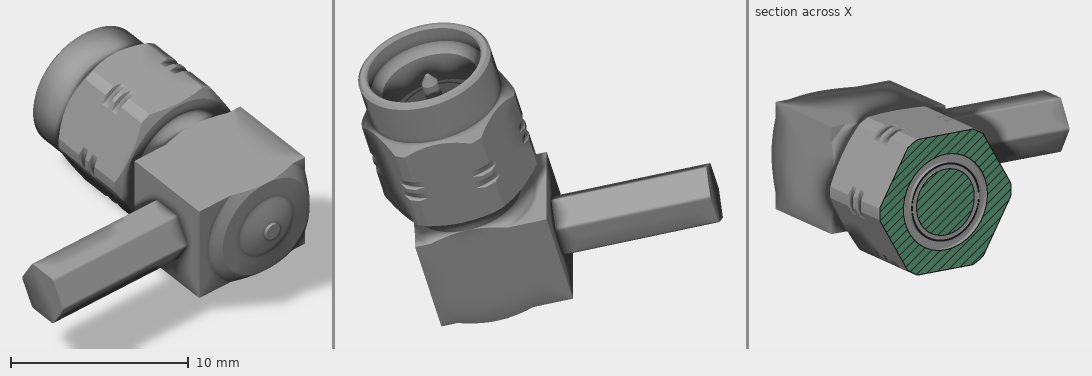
import cadquery as cq
import math


sleeve_diameter = 7.7
sleeve_edge_chamfer = 0.18
nut_start = 2.6
nut_end = 8.52
nut_across_flats = 8.0
nut_corner_radius = 4.44
nut_front_angle = 45.0
nut_rear_angle = 60.0
nut_rear_face_radius = 3.88

groove_floor_radius = 4.23
groove_floor_width = 0.4
groove_wall_run = 0.07
groove_pitch = 0.82
groove_count = 2
first_groove_x = 5.28

bore_diameter = 6.6
bore_lead_in = 0.1
bore_shoulder_x = 1.03
inner_bore_diameter = 5.59
inner_bore_floor_x = 3.4

rim_diameter = 4.56
rim_front_x = 3.1
ring_outer_diameter = 4.4
ring_inner_diameter = 3.9
ring_depth = 0.1
pin_diameter = 0.93
pin_tip_diameter = 0.25
pin_tip_x = 0.81
pin_cone_end_x = 1.35

neck_diameter = 6.3
body_height = 6.3
body_front_x = 10.05
body_rear_x = 15.83
boss_start_x = 9.65
boss_end_x = 16.25
boss_base_radius = 3.85
body_tail_face_y = -4.5

dome_radius = 1.95
dome_height = 0.45
stub_diameter = 1.0
stub_end_x = 16.86

tail_across_flats = 3.2
tail_edge_radius = 0.2
tail_end_y = -13.5


def hexagon_diameter(across_flats):
    """Across-corners size of a regular hexagon."""
    return across_flats / math.cos(math.pi / 6)


def revolve_about_axis(profile):
    """Turn a closed (x, radius) profile about the connector axis."""
    return cq.Workplane("XY").polyline(profile).close().revolve(360, (0, 0, 0), (1, 0, 0))


def cylinder(diameter, start_x, end_x):
    return cq.Workplane("YZ", origin=(start_x, 0, 0)).circle(diameter / 2).extrude(end_x - start_x)


def make_groove(center_x):
    """Ring cutter with sloping walls; it reaches only the nut corners."""
    outer_radius = 2 * nut_corner_radius - groove_floor_radius
    half_floor = groove_floor_width / 2
    half_top = half_floor + 2 * groove_wall_run
    return revolve_about_axis([
        (center_x - half_floor, groove_floor_radius),
        (center_x + half_floor, groove_floor_radius),
        (center_x + half_top, outer_radius),
        (center_x - half_top, outer_radius),
    ])


def make_nut():
    hexagon = (
        cq.Workplane("YZ", origin=(nut_start, 0, 0))
        .polygon(6, hexagon_diameter(nut_across_flats))
        .extrude(nut_end - nut_start)
    )
    front_radius = sleeve_diameter / 2
    front_length = (nut_corner_radius - front_radius) / math.tan(math.radians(nut_front_angle))
    rear_length = (nut_corner_radius - nut_rear_face_radius) / math.tan(math.radians(nut_rear_angle))
    turned_envelope = revolve_about_axis([
        (nut_start, 0),
        (nut_start, front_radius),
        (nut_start + front_length, nut_corner_radius),
        (nut_end - rear_length, nut_corner_radius),
        (nut_end, nut_rear_face_radius),
        (nut_end, 0),
    ])
    nut = hexagon.intersect(turned_envelope)
    for index in range(groove_count):
        nut = nut.cut(make_groove(first_groove_x + index * groove_pitch))
    sleeve = cylinder(sleeve_diameter, 0, nut_start).faces("<X").chamfer(sleeve_edge_chamfer)
    return nut.union(sleeve)


def make_bore():
    bore_radius = bore_diameter / 2
    inner_radius = inner_bore_diameter / 2
    shoulder_length = bore_radius - inner_radius
    return revolve_about_axis([
        (0, 0),
        (0, bore_radius + bore_lead_in),
        (bore_lead_in, bore_radius),
        (bore_shoulder_x, bore_radius),
        (bore_shoulder_x + shoulder_length, inner_radius),
        (inner_bore_floor_x, inner_radius),
        (inner_bore_floor_x, 0),
    ])


def make_contact_core():
    """Raised round core with a shallow ring sunk between its rim and the insulator."""
    core = cylinder(rim_diameter, rim_front_x, inner_bore_floor_x)
    ring_floor_x = rim_front_x + ring_depth
    ring = cylinder(ring_outer_diameter, rim_front_x, ring_floor_x)
    insulator = cylinder(ring_inner_diameter, rim_front_x, ring_floor_x)
    return core.cut(ring.cut(insulator))


def make_pin():
    return revolve_about_axis([
        (pin_tip_x, 0),
        (pin_tip_x, pin_tip_diameter / 2),
        (pin_cone_end_x, pin_diameter / 2),
        (inner_bore_floor_x, pin_diameter / 2),
        (inner_bore_floor_x, 0),
    ])


def body_section(start_x, end_x):
    """Length of the rectangular body section between two X positions."""
    half_height = body_height / 2
    return (
        cq.Workplane("XY", origin=(start_x, body_tail_face_y, -half_height))
        .box(end_x - start_x, half_height - body_tail_face_y, body_height, centered=False)
    )


def make_body():
    """Elbow block with a neck and coned ends that are trimmed to the block section."""
    neck_radius = neck_diameter / 2
    boss = revolve_about_axis([
        (boss_start_x, 0),
        (boss_start_x, neck_radius),
        (body_front_x, boss_base_radius),
        (body_rear_x, boss_base_radius),
        (boss_end_x, neck_radius),
        (boss_end_x, 0),
    ])
    trimmed_boss = boss.intersect(body_section(boss_start_x, boss_end_x))
    neck = cylinder(neck_diameter, nut_end, boss_start_x)
    return body_section(body_front_x, body_rear_x).union(trimmed_boss).union(neck)


def make_rear_cap():
    sphere_radius = (dome_radius ** 2 + dome_height ** 2) / (2 * dome_height)
    arc_middle_radius = dome_radius / 2
    apex_x = boss_end_x + dome_height
    arc_middle_x = apex_x - sphere_radius + math.sqrt(sphere_radius ** 2 - arc_middle_radius ** 2)
    dome = (
        cq.Workplane("XY")
        .moveTo(boss_end_x, 0)
        .lineTo(boss_end_x, dome_radius)
        .threePointArc((arc_middle_x, arc_middle_radius), (apex_x, 0))
        .close()
        .revolve(360, (0, 0, 0), (1, 0, 0))
    )
    return dome.union(cylinder(stub_diameter, boss_end_x, stub_end_x))


def make_tail():
    center_x = (body_front_x + body_rear_x) / 2
    return (
        cq.Workplane("XZ", origin=(center_x, body_tail_face_y, 0))
        .polygon(6, hexagon_diameter(tail_across_flats))
        .extrude(body_tail_face_y - tail_end_y)
        .edges("|Y")
        .fillet(tail_edge_radius)
    )


connector_front = make_nut().cut(make_bore()).union(make_contact_core()).union(make_pin())
elbow = make_body().union(make_rear_cap()).union(make_tail())
result = connector_front.union(elbow)